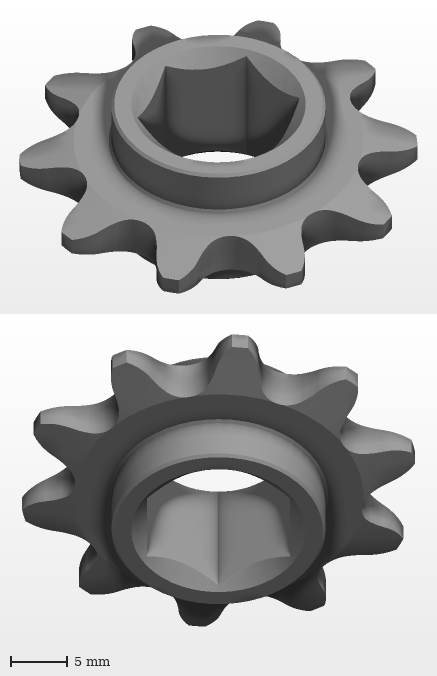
import cadquery as cq
import math

tooth_count = 10
pitch = 9.52
roller_dia = 5.1
seat_radius = 2.6
outer_radius = 17.7
face_radius = 12.9
plate_thickness = 4.0
tip_thickness = 1.6

hub_radius = 9.52
hub_height = 12.55
rim_chamfer = 0.25
base_chamfer = 0.25

hex_sides = 6
hex_across_flats = 12.7
countersink_radius = 7.75
countersink_angle = 45.0

tooth_angle = 360 / tooth_count
half_tooth_angle = tooth_angle / 2
pitch_radius = pitch / 2 / math.sin(math.radians(half_tooth_angle))
half_hub = hub_height / 2
half_plate = plate_thickness / 2
half_tip = tip_thickness / 2


def polar(center, radius, degrees):
    """Point at a distance and direction from a centre."""
    angle = math.radians(degrees)
    return (center[0] + radius * math.cos(angle), center[1] + radius * math.sin(angle))


def rotated(point, degrees):
    """Point turned about the part axis."""
    bearing = math.degrees(math.atan2(point[1], point[0]))
    return polar((0, 0), math.hypot(*point), bearing + degrees)


def mirrored(point):
    """Point reflected across the X axis."""
    return (point[0], -point[1])


def flank_points():
    """Upper flank of the tooth gap centred on +X, in the standard roller chain tooth form.

    From the root outwards: root arc, concave arc, short tangent line, convex arc up to the
    pointed tip. Returns the arc ends and the arc midpoints.
    """
    seat_angle = 35 + 60 / tooth_count
    concave_angle = 18 - 56 / tooth_count
    concave_offset = 0.8 * roller_dia
    convex_offset = 1.4 * roller_dia

    seat = (pitch_radius, 0)
    seat_end_bearing = 90 + seat_angle
    concave_end_bearing = seat_end_bearing - concave_angle
    seat_end = polar(seat, seat_radius, seat_end_bearing)

    concave_center = polar(seat, -concave_offset, seat_end_bearing)
    concave_radius = concave_offset + seat_radius
    concave_mid = polar(concave_center, concave_radius, (seat_end_bearing + concave_end_bearing) / 2)
    concave_end = polar(concave_center, concave_radius, concave_end_bearing)

    convex_center = polar(seat, convex_offset, 90 + half_tooth_angle)
    normal = polar((0, 0), 1, concave_end_bearing)
    convex_radius = sum((c - e) * n for c, e, n in zip(convex_center, concave_end, normal))
    convex_start_bearing = concave_end_bearing + 180
    convex_start = polar(convex_center, convex_radius, convex_start_bearing)

    past_chord_middle = convex_offset - pitch / 2
    tip_bearing = half_tooth_angle - 90 + math.degrees(math.acos(past_chord_middle / convex_radius))
    convex_mid = polar(convex_center, convex_radius, (convex_start_bearing - 360 + tip_bearing) / 2)
    tip = polar(convex_center, convex_radius, tip_bearing)
    return seat_end, concave_mid, concave_end, convex_start, convex_mid, tip


def toothed_blank():
    """Full-thickness plate with pointed teeth; a tooth gap repeats every tooth angle."""
    seat_end, concave_mid, concave_end, convex_start, convex_mid, tip = flank_points()
    root = (pitch_radius - seat_radius, 0)
    outline = cq.Workplane("XY", origin=(0, 0, -half_plate))
    outline = outline.moveTo(*mirrored(tip))
    for gap in range(tooth_count):
        turn = gap * tooth_angle

        def place(point):
            return rotated(point, turn)

        outline = (
            outline
            .threePointArc(place(mirrored(convex_mid)), place(mirrored(convex_start)))
            .lineTo(*place(mirrored(concave_end)))
            .threePointArc(place(mirrored(concave_mid)), place(mirrored(seat_end)))
            .threePointArc(place(root), place(seat_end))
            .threePointArc(place(concave_mid), place(concave_end))
            .lineTo(*place(convex_start))
            .threePointArc(place(convex_mid), place(tip))
        )
    return outline.close().extrude(plate_thickness)


def tapered_disc():
    """Disc that tops the teeth at the outer radius and tapers both of their faces."""
    profile = [
        (0, half_plate),
        (face_radius, half_plate),
        (outer_radius, half_tip),
        (outer_radius, -half_tip),
        (face_radius, -half_plate),
        (0, -half_plate),
    ]
    return cq.Workplane("XZ").polyline(profile).close().revolve(360, (0, 0), (0, 1))


def hub():
    """Hub through the plate, chamfered at both rims and flared at the plate faces."""
    upper_edge = [
        (hub_radius - rim_chamfer, half_hub),
        (hub_radius, half_hub - rim_chamfer),
        (hub_radius, half_plate + base_chamfer),
        (hub_radius + base_chamfer, half_plate),
    ]
    lower_edge = [mirrored(point) for point in reversed(upper_edge)]
    profile = [(0, half_hub)] + upper_edge + lower_edge + [(0, -half_hub)]
    return cq.Workplane("XZ").polyline(profile).close().revolve(360, (0, 0), (0, 1))


def bore():
    """Hexagonal hole with flats facing +Y and -Y, plus a conical countersink at each end."""
    corner_dia = hex_across_flats / math.cos(math.radians(180 / hex_sides))
    hexagon = cq.Workplane("XY", origin=(0, 0, -half_hub)).polygon(hex_sides, corner_dia).extrude(hub_height)
    cone_depth = countersink_radius / math.tan(math.radians(countersink_angle))
    profile = [(0, half_hub), (countersink_radius, half_hub), (0, half_hub - cone_depth)]
    top_cone = cq.Workplane("XZ").polyline(profile).close().revolve(360, (0, 0), (0, 1))
    return hexagon.union(top_cone).union(top_cone.mirror("XY"))


result = toothed_blank().intersect(tapered_disc()).union(hub()).cut(bore())